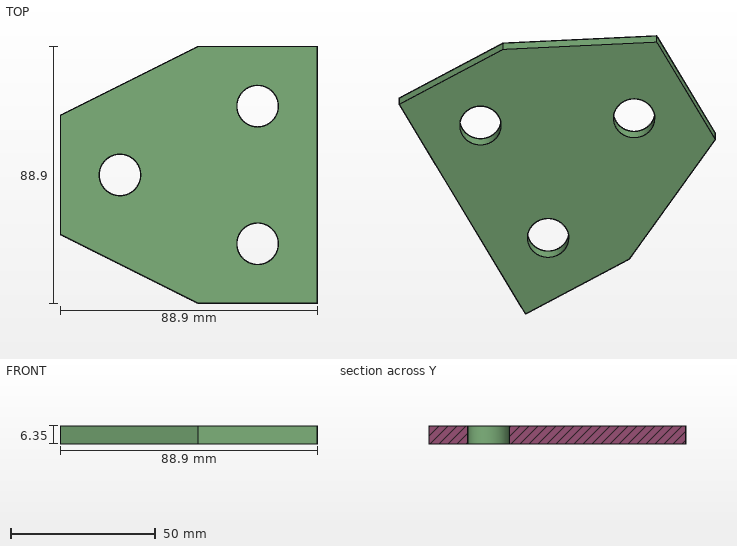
import cadquery as cq

hole_pitch = 47.625
edge_distance = 20.6375
hole_diameter = 14.2875
thickness = 6.35

half_size = hole_pitch / 2 + edge_distance
taper_end_x = -half_size + hole_pitch
nose_half_width = edge_distance


def make_plate():
    """Flat plate, full width at +X and tapering to a narrow nose at -X."""
    outline = [
        (half_size, -half_size),
        (half_size, half_size),
        (taper_end_x, half_size),
        (-half_size, nose_half_width),
        (-half_size, -nose_half_width),
        (taper_end_x, -half_size),
    ]
    return cq.Workplane("XY").polyline(outline).close().extrude(thickness)


def drill_holes(plate):
    """One through hole in the nose and two at the wide end."""
    half_pitch = hole_pitch / 2
    centres = [
        (-half_pitch, 0),
        (half_pitch, half_pitch),
        (half_pitch, -half_pitch),
    ]
    drills = cq.Workplane("XY").pushPoints(centres).circle(hole_diameter / 2).extrude(thickness)
    return plate.cut(drills)


result = drill_holes(make_plate())